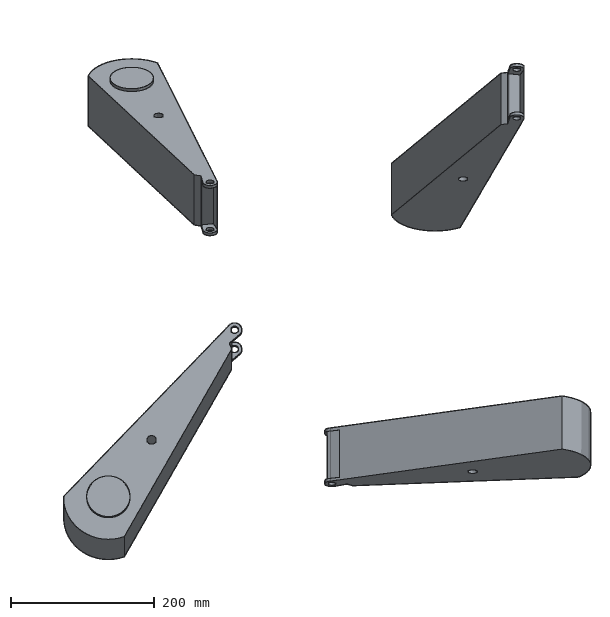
import cadquery as cq
import math

length = 377.2
width = 103.5
body_height = 80.5
boss_height = 4.5
boss_radius = 30.0
head_radius = 62.2
lug_radius = 10.0
lug_thickness = 4.5
lug_hole_radius = 5.3
pivot_hole_radius = 6.5
pivot_hole_x = 166.7

half_width = width / 2
head_x = head_radius
shoulder_x = head_x - math.sqrt(head_radius**2 - half_width**2)
lug_x = length - lug_radius
side_slope = (half_width - lug_radius) / (lug_x - shoulder_x)

step_start_x = 340.5
step_end = (346.5, -5.5)
step_start_y = -(lug_radius + side_slope * (lug_x - step_start_x))

gap_front_x = 351.2
gap_back = (354.0, 10.0)
web_tip_x = 372.0
web_tip_y = math.sqrt(lug_radius**2 - (web_tip_x - lug_x)**2)
gap_height = body_height - 2 * lug_thickness


def make_body():
    """Tapered arm with a round head and a round lug end."""
    return (
        cq.Workplane("XY")
        .moveTo(shoulder_x, -half_width)
        .threePointArc((0, 0), (shoulder_x, half_width))
        .lineTo(lug_x, lug_radius)
        .threePointArc((length, 0), (lug_x, -lug_radius))
        .lineTo(*step_end)
        .lineTo(step_start_x, step_start_y)
        .close()
        .extrude(body_height)
    )


def make_boss():
    """Round pad on top of the head."""
    return (
        cq.Workplane("XY", origin=(head_x, 0, body_height))
        .circle(boss_radius)
        .extrude(boss_height)
    )


def make_gap():
    """Cutter that leaves a lug above and below and a web behind."""
    outside_x = length + lug_radius
    outside_y = -2 * lug_radius
    return (
        cq.Workplane("XY", origin=(0, 0, lug_thickness))
        .moveTo(gap_front_x, outside_y)
        .lineTo(gap_front_x, step_end[1])
        .lineTo(*gap_back)
        .lineTo(web_tip_x, web_tip_y)
        .lineTo(outside_x, web_tip_y)
        .lineTo(outside_x, outside_y)
        .close()
        .extrude(gap_height)
    )


def make_hole(x, radius):
    """Cutter for a vertical hole through the full body height."""
    return cq.Workplane("XY", origin=(x, 0, 0)).circle(radius).extrude(body_height)


result = (
    make_body()
    .union(make_boss())
    .cut(make_gap())
    .cut(make_hole(pivot_hole_x, pivot_hole_radius))
    .cut(make_hole(lug_x, lug_hole_radius))
)